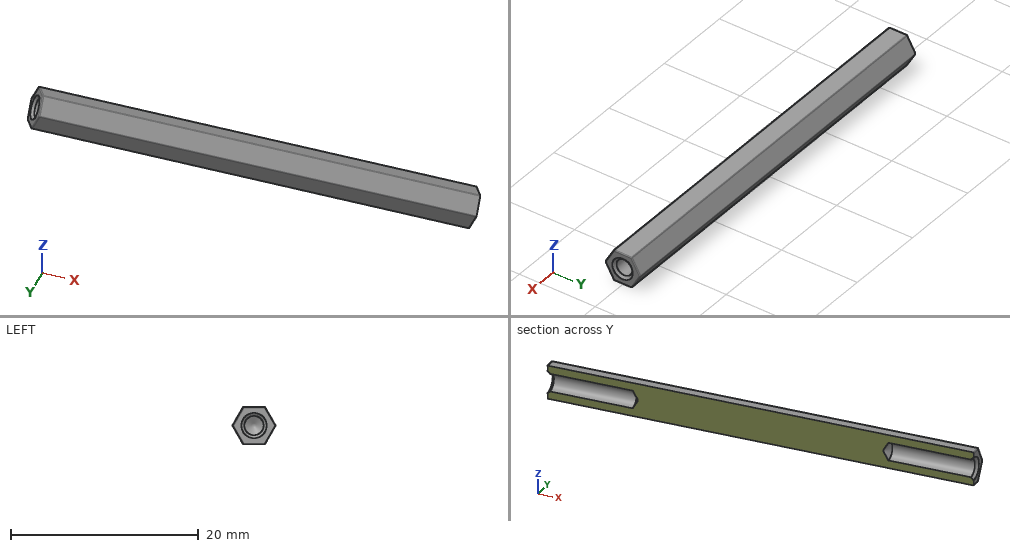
import cadquery as cq
import math

length = 50.0
across_flats = 4.0
edge_radius = 0.1

countersink_diameter = 2.7
core_diameter = 2.05
hole_depth = 10.0
drill_point_angle = 118.0

across_corners = across_flats / math.cos(math.pi / 6)


def hex_bar():
    """Hexagonal bar with corners on +Y and -Y and all edges rounded."""
    bar = cq.Workplane("YZ").polygon(6, across_corners).extrude(length / 2, both=True)
    return bar.edges().fillet(edge_radius)


def end_hole():
    """Countersunk blind hole with a drill point, entering the -X end."""
    mouth_radius = countersink_diameter / 2
    core_radius = core_diameter / 2
    countersink_depth = mouth_radius - core_radius
    point_length = core_radius / math.tan(math.radians(drill_point_angle / 2))
    end_face = -length / 2
    bore_bottom = end_face + hole_depth
    half_profile = [
        (end_face, 0),
        (end_face, mouth_radius),
        (end_face + countersink_depth, core_radius),
        (bore_bottom, core_radius),
        (bore_bottom + point_length, 0),
    ]
    return cq.Workplane("XY").polyline(half_profile).close().revolve(360, (0, 0, 0), (1, 0, 0))


near_hole = end_hole()
far_hole = near_hole.mirror("YZ")
result = hex_bar().cut(near_hole).cut(far_hole)